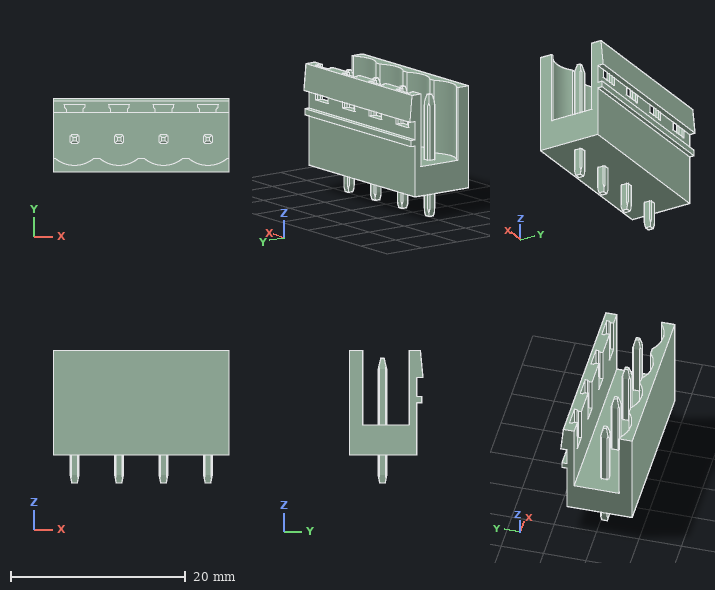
import cadquery as cq

housing_length = 20.12
housing_height = 12.0
housing_depth = 7.7
floor_thickness = 3.46
front_wall_inner_y = 1.53
back_wall_inner_y = 6.85

latch_bottom_z = 8.87
latch_top_y = 8.13
latch_tip_y = 8.43
rib_bottom_z = 6.0
rib_height = 0.72
rib_outer_y = 8.29

contact_count = 4
first_contact_x = 2.43
contact_pitch = (housing_length - 2 * first_contact_x) / (contact_count - 1)
contact_xs = [first_contact_x + i * contact_pitch for i in range(contact_count)]

scallop_width = 4.3
scallop_depth = 0.76

slot_bottom_z = 7.9
slot_neck_width = 1.9
slot_wide_width = 2.33
slot_neck_end_y = 7.18
slot_wide_start_y = 7.42

pin_y = 3.78
pin_width = 1.0
pin_chamfer = 0.171
pin_top_z = 11.09
pin_bottom_z = -3.2
top_taper_length = 1.25
top_tip_width = 0.4
bottom_taper_length = 0.9
bottom_tip_width = 0.65


def make_channel():
    """U-shaped section with latch and rib, extruded along the housing length."""
    rib_top_z = rib_bottom_z + rib_height
    outline = [
        (0, 0),
        (housing_depth, 0),
        (housing_depth, rib_bottom_z),
        (rib_outer_y, rib_bottom_z),
        (rib_outer_y, rib_top_z),
        (housing_depth, rib_top_z),
        (housing_depth, latch_bottom_z),
        (latch_tip_y, latch_bottom_z),
        (latch_top_y, housing_height),
        (back_wall_inner_y, housing_height),
        (back_wall_inner_y, floor_thickness),
        (front_wall_inner_y, floor_thickness),
        (front_wall_inner_y, housing_height),
        (0, housing_height),
    ]
    return cq.Workplane("YZ").polyline(outline).close().extrude(housing_length)


def make_scallop(x):
    """Arc-shaped cutter that hollows the front wall from the floor to the top."""
    half_width = scallop_width / 2
    return (
        cq.Workplane("XY", origin=(x, front_wall_inner_y, floor_thickness))
        .moveTo(-half_width, 0)
        .threePointArc((0, -scallop_depth), (half_width, 0))
        .close()
        .extrude(housing_height - floor_thickness)
    )


def make_coding_slot(x):
    """Dovetail cutter, open to the channel and to the top of the back wall."""
    half_neck = slot_neck_width / 2
    half_wide = slot_wide_width / 2
    outline = [
        (-half_neck, back_wall_inner_y),
        (half_neck, back_wall_inner_y),
        (half_neck, slot_neck_end_y),
        (half_wide, slot_wide_start_y),
        (half_wide, housing_depth),
        (-half_wide, housing_depth),
        (-half_wide, slot_wide_start_y),
        (-half_neck, slot_neck_end_y),
    ]
    return (
        cq.Workplane("XY", origin=(x, 0, slot_bottom_z))
        .polyline(outline)
        .close()
        .extrude(housing_height - slot_bottom_z)
    )


def make_pin_bar(x, bottom_z, top_z):
    """Square bar with its four long edges chamfered."""
    return (
        cq.Workplane("XY", origin=(x, pin_y, bottom_z))
        .rect(pin_width, pin_width)
        .extrude(top_z - bottom_z)
        .edges("|Z")
        .chamfer(pin_chamfer)
    )


def make_taper(x, tip_z, tip_width, base_z):
    """Four-sided frustum from the full pin width down to the tip."""
    return (
        cq.Workplane("XY", origin=(x, pin_y, base_z))
        .rect(pin_width, pin_width)
        .workplane(offset=tip_z - base_z)
        .rect(tip_width, tip_width)
        .loft(ruled=True)
    )


def make_pin(x):
    """Chamfered bar trimmed to a square envelope that tapers at both ends."""
    shank_bottom_z = pin_bottom_z + bottom_taper_length
    shank_top_z = pin_top_z - top_taper_length
    envelope = (
        cq.Workplane("XY", origin=(x, pin_y, shank_bottom_z))
        .rect(pin_width, pin_width)
        .extrude(shank_top_z - shank_bottom_z)
        .union(make_taper(x, pin_top_z, top_tip_width, shank_top_z))
        .union(make_taper(x, pin_bottom_z, bottom_tip_width, shank_bottom_z))
    )
    return make_pin_bar(x, pin_bottom_z, pin_top_z).intersect(envelope)


def make_housing():
    """Channel with scallops, coding slots and a matching hole for each pin."""
    body = make_channel()
    for x in contact_xs:
        body = body.cut(make_scallop(x))
        body = body.cut(make_coding_slot(x))
        body = body.cut(make_pin_bar(x, 0, floor_thickness))
    return body


housing = make_housing()
pins = [make_pin(x) for x in contact_xs]

result = cq.Compound.makeCompound([housing.val(), *[pin.val() for pin in pins]])